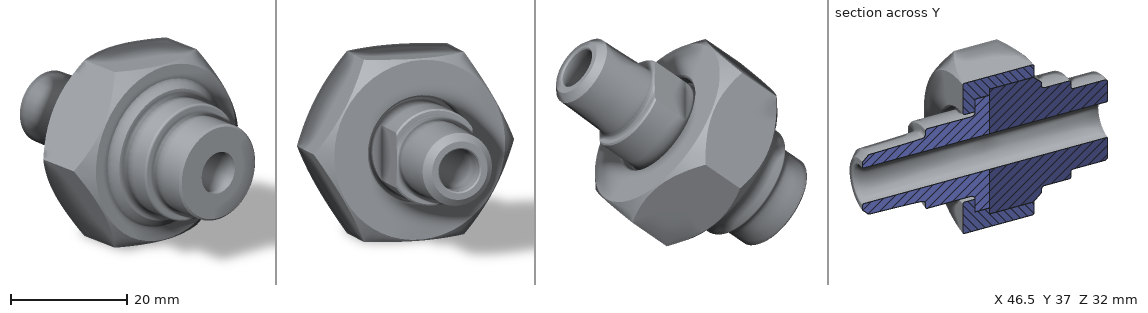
import cadquery as cq
import math

total_length = 46.5
bore_dia = 7.5

nose_tip_dia = 10.25
nose_chamfer_dia = 12.8
nose_chamfer_length = 1.2
nose_root_dia = 13.45
shank_start = 11.95
shank_dia = 17.0
shank_chamfer = 0.3
nose_fillet = 0.7
bore_chamfer = 0.25
flat_width = 14.0
flat_length = 7.15
flat_ramp_length = 0.35
collar_dia = 24.15
collar_thickness = 2.8

nut_start = 19.0
nut_width = 13.55
nut_end = nut_start + nut_width
nut_across_flats = 32.0
nut_face_dia = 31.55
nut_hole_dia = 18.5
nut_hole_chamfer = 0.33
nut_lip = 2.32
thread_dia = 26.4

collar_start = nut_start + nut_lip
collar_end = collar_start + collar_thickness
collar_fillet = (nut_hole_dia - shank_dia) / 2

cone_end_dia = 23.5
cone_length = (thread_dia - cone_end_dia) / 2
step_start = nut_end + cone_length
step_dia = 20.92
step_fillet = 0.55
step_end = 39.55
step_edge_round = 0.4
tail_dia = 17.2
tail_fillet = 0.4
tail_chamfer = 0.35

ARC_MID = 1 - math.sqrt(0.5)


def revolve_about_x(profile):
    """Close a profile drawn as (x, radius) and turn it about the X axis."""
    return profile.close().revolve(360, (0, 0, 0), (1, 0, 0))


def concave_fillet(profile, x_face, radius, size):
    """From a cylinder of the given radius, sweep up into the end face at x_face."""
    middle = (x_face - ARC_MID * size, radius + ARC_MID * size)
    return profile.threePointArc(middle, (x_face, radius + size))


def concave_fillet_down(profile, x_face, radius, size):
    """From the end face at x_face, sweep down onto a cylinder of the given radius."""
    middle = (x_face + ARC_MID * size, radius + ARC_MID * size)
    return profile.threePointArc(middle, (x_face + size, radius))


def flat_cutter(side):
    """Material removed for one wrench flat, with a slanted run-out under the nut."""
    flat_y = flat_width / 2
    outer_y = shank_dia / 2
    cut_start = shank_start - nose_fillet
    ramp_start = shank_start + flat_length
    clear = outer_y + flat_ramp_length
    slope = flat_ramp_length / (outer_y - flat_y)
    clear_x = ramp_start + slope * (clear - flat_y)
    return (
        cq.Workplane("XY")
        .moveTo(cut_start, side * flat_y)
        .lineTo(ramp_start, side * flat_y)
        .lineTo(clear_x, side * clear)
        .lineTo(cut_start, side * clear)
        .close()
        .extrude(outer_y, both=True)
    )


def make_spigot():
    bore_radius = bore_dia / 2
    shank_radius = shank_dia / 2
    profile = (
        cq.Workplane("XY")
        .moveTo(bore_chamfer, bore_radius)
        .lineTo(0, bore_radius + bore_chamfer)
        .lineTo(0, nose_tip_dia / 2)
        .lineTo(nose_chamfer_length, nose_chamfer_dia / 2)
        .lineTo(shank_start - nose_fillet, nose_root_dia / 2)
    )
    profile = concave_fillet(profile, shank_start, nose_root_dia / 2, nose_fillet)
    profile = (
        profile.lineTo(shank_start, shank_radius - shank_chamfer)
        .lineTo(shank_start + shank_chamfer, shank_radius)
        .lineTo(collar_start - collar_fillet, shank_radius)
    )
    profile = concave_fillet(profile, collar_start, shank_radius, collar_fillet)
    profile = (
        profile.lineTo(collar_start, collar_dia / 2)
        .lineTo(collar_end, collar_dia / 2)
        .lineTo(collar_end, bore_radius)
    )
    spigot = revolve_about_x(profile)
    for side in (-1, 1):
        spigot = spigot.cut(flat_cutter(side))
    return spigot


def make_nut():
    corner_dia = nut_across_flats / math.cos(math.pi / 6)
    hexagon = (
        cq.Workplane("YZ", origin=(nut_start, 0, 0))
        .polygon(6, corner_dia)
        .extrude(nut_width)
    )
    bevel = (corner_dia - nut_face_dia) / 2
    hole_radius = nut_hole_dia / 2
    blank = revolve_about_x(
        cq.Workplane("XY")
        .moveTo(nut_start, hole_radius + nut_hole_chamfer)
        .lineTo(nut_start, nut_face_dia / 2)
        .lineTo(nut_start + bevel, corner_dia / 2)
        .lineTo(nut_end - bevel, corner_dia / 2)
        .lineTo(nut_end, nut_face_dia / 2)
        .lineTo(nut_end, thread_dia / 2)
        .lineTo(collar_end, thread_dia / 2)
        .lineTo(collar_end, collar_dia / 2)
        .lineTo(collar_start, collar_dia / 2)
        .lineTo(collar_start, hole_radius)
        .lineTo(nut_start + nut_hole_chamfer, hole_radius)
    )
    return hexagon.intersect(blank)


def make_tailpiece():
    step_radius = step_dia / 2
    tail_radius = tail_dia / 2
    profile = (
        cq.Workplane("XY")
        .moveTo(collar_end, bore_dia / 2)
        .lineTo(collar_end, thread_dia / 2)
        .lineTo(nut_end, thread_dia / 2)
        .lineTo(step_start, cone_end_dia / 2)
        .lineTo(step_start, step_radius + step_fillet)
    )
    profile = concave_fillet_down(profile, step_start, step_radius, step_fillet)
    round_middle = (
        step_end - ARC_MID * step_edge_round,
        step_radius - ARC_MID * step_edge_round,
    )
    profile = (
        profile.lineTo(step_end - step_edge_round, step_radius)
        .threePointArc(round_middle, (step_end, step_radius - step_edge_round))
        .lineTo(step_end, tail_radius + tail_fillet)
    )
    profile = concave_fillet_down(profile, step_end, tail_radius, tail_fillet)
    profile = (
        profile.lineTo(total_length - tail_chamfer, tail_radius)
        .lineTo(total_length, tail_radius - tail_chamfer)
        .lineTo(total_length, bore_dia / 2)
    )
    return revolve_about_x(profile)


spigot = make_spigot()
nut = make_nut()
tailpiece = make_tailpiece()

result = cq.Compound.makeCompound([spigot.val(), nut.val(), tailpiece.val()])